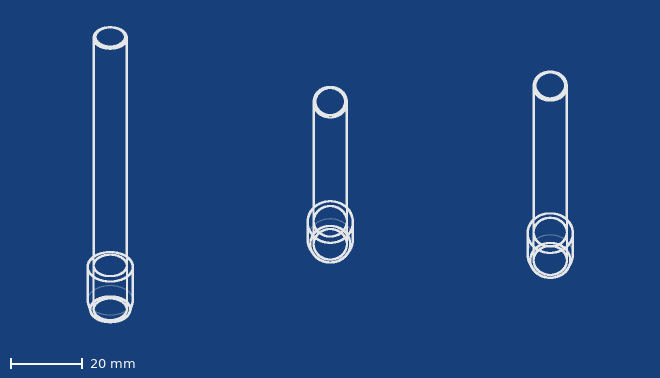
import cadquery as cq

rod_length = 100.0
rod_diameter = 9.3
rod_radius = rod_diameter / 2
rod_chamfer_width = 0.5
rod_chamfer_height = 0.4

sleeve_diameter = 12.7
sleeve_radius = sleeve_diameter / 2
sleeve_height = 16.1
shoulder_drop = 0.5
lead_in_height = 3.3
lead_in_inset = 0.75


def revolve_about_z(profile):
    """Turn a closed half-profile drawn in the XZ plane about the Z axis."""
    return profile.revolve(360, (0, 0, 0), (0, 1, 0))


def make_rod():
    """Full-length round bar with a chamfer around its top edge."""
    profile = (
        cq.Workplane("XZ")
        .lineTo(rod_radius, 0)
        .lineTo(rod_radius, rod_length - rod_chamfer_height)
        .lineTo(rod_radius - rod_chamfer_width, rod_length)
        .lineTo(0, rod_length)
        .close()
    )
    return revolve_about_z(profile)


def make_sleeve():
    """Collar with a through bore, a conical lead-in below and a conical shoulder above."""
    profile = (
        cq.Workplane("XZ")
        .moveTo(rod_radius, 0)
        .lineTo(sleeve_radius - lead_in_inset, 0)
        .lineTo(sleeve_radius, lead_in_height)
        .lineTo(sleeve_radius, sleeve_height - shoulder_drop)
        .lineTo(rod_radius, sleeve_height)
        .close()
    )
    return revolve_about_z(profile)


rod = make_rod()
sleeve = make_sleeve()
result = cq.Compound.makeCompound([rod.val(), sleeve.val()])